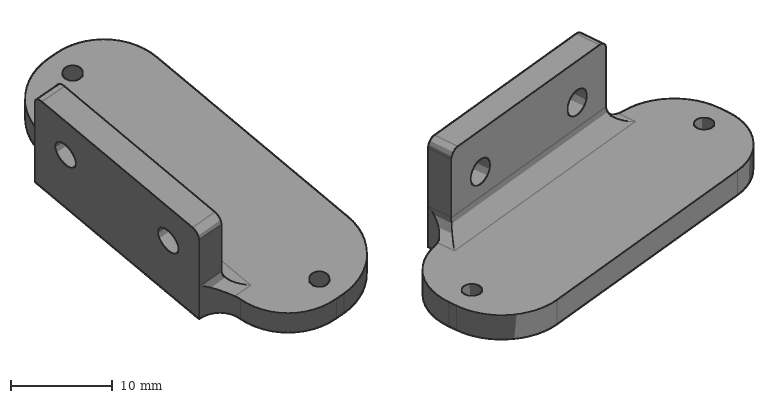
import cadquery as cq
import math

length = 42.0
total_depth = 18.0
total_height = 13.0

thickness = 3.0
plate_depth = total_depth - thickness
corner_radius = 7.0
plate_hole_diameter = 2.0
plate_hole_spacing = 36.0

wall_width = 24.0
wall_corner_radius = 1.0
wall_hole_diameter = 3.0
wall_hole_spacing = 15.0
wall_hole_height = 8.0

neck_radius = 3.0
cove_radius = 2.0

half_wall = wall_width / 2
half_flare = half_wall + cove_radius
cove_top = thickness + cove_radius
diagonal = math.sqrt(0.5)


def neck_side(side):
    """Plan area joining one plate corner to the wall side by a tangent arc."""
    corner_x = length / 2 - corner_radius
    neck_x = half_wall + neck_radius
    center_distance = corner_radius + neck_radius
    neck_y = corner_radius - math.sqrt(center_distance**2 - (neck_x - corner_x) ** 2)
    contact_share = corner_radius / center_distance
    contact_x = corner_x + contact_share * (neck_x - corner_x)
    contact_y = corner_radius + contact_share * (neck_y - corner_radius)
    start_angle = math.atan2(contact_y - neck_y, contact_x - neck_x)
    middle_angle = (start_angle + math.pi) / 2
    middle_x = neck_x + neck_radius * math.cos(middle_angle)
    middle_y = neck_y + neck_radius * math.sin(middle_angle)
    return (
        cq.Workplane("XY")
        .moveTo(0, -thickness)
        .lineTo(side * half_wall, -thickness)
        .lineTo(side * half_wall, neck_y)
        .threePointArc((side * middle_x, middle_y), (side * contact_x, contact_y))
        .lineTo(side * contact_x, corner_radius)
        .lineTo(0, corner_radius)
        .close()
    )


def make_footprint(height):
    """Whole plan outline, raised to the given height."""
    body = (
        cq.Workplane("XY")
        .rect(length, plate_depth)
        .extrude(height)
        .edges("|Z")
        .fillet(corner_radius)
        .translate((0, plate_depth / 2, 0))
    )
    for side in (-1, 1):
        body = body.union(neck_side(side).extrude(height))
    return body


def make_wall():
    return (
        cq.Workplane("XY")
        .box(wall_width, thickness, total_height, centered=(True, False, False))
        .translate((0, -thickness, 0))
        .edges("|Y and >Z")
        .fillet(wall_corner_radius)
    )


def make_cove():
    """Concave flare around the wall foot, mitred at the two rear corners."""
    cove_reach = cove_radius * (1 - diagonal)
    cove_middle_z = thickness + cove_reach
    side_profile = (
        cq.Workplane("XZ")
        .moveTo(-half_flare, 0)
        .lineTo(half_flare, 0)
        .lineTo(half_flare, thickness)
        .threePointArc((half_wall + cove_reach, cove_middle_z), (half_wall, cove_top))
        .lineTo(-half_wall, cove_top)
        .threePointArc((-half_wall - cove_reach, cove_middle_z), (-half_flare, thickness))
        .close()
        .extrude(total_depth, both=True)
    )
    rear_profile = (
        cq.Workplane("YZ")
        .moveTo(-thickness, 0)
        .lineTo(cove_radius, 0)
        .lineTo(cove_radius, thickness)
        .threePointArc((cove_reach, cove_middle_z), (0, cove_top))
        .lineTo(-thickness, cove_top)
        .close()
        .extrude(length, both=True)
    )
    return side_profile.intersect(rear_profile).intersect(make_footprint(cove_top))


def make_plate_holes():
    return (
        cq.Workplane("XY")
        .center(0, plate_depth / 2)
        .rarray(plate_hole_spacing, 0.4, 2, 1)
        .circle(plate_hole_diameter / 2)
        .extrude(thickness)
    )


def make_wall_holes():
    return (
        cq.Workplane("XZ")
        .center(0, wall_hole_height)
        .rarray(wall_hole_spacing, 0.4, 2, 1)
        .circle(wall_hole_diameter / 2)
        .extrude(thickness)
    )


result = make_footprint(thickness).union(make_cove()).union(make_wall())
result = result.cut(make_plate_holes()).cut(make_wall_holes())